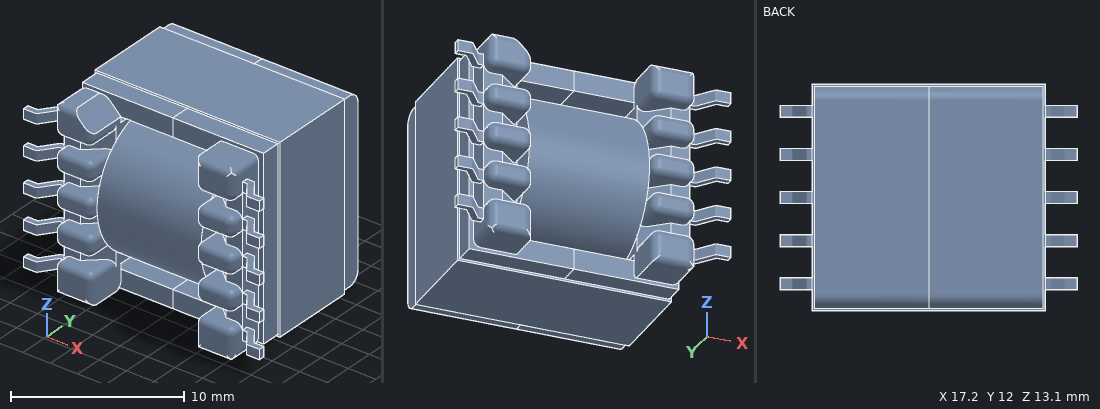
import cadquery as cq
import math


overall_length = 17.16
overall_depth = 11.96
core_length = 13.18
core_height = 12.82
core_front = 2.99
core_back_radius = 0.79

tape_thickness = 0.14
tape_front = 4.36
tape_width = 6.16

winding_radius = 4.74
winding_length = 7.55
winding_front = 0.72
winding_axis = winding_front + winding_radius
cavity_radius = 5.11
post_radius = 2.2

tube_wall = 0.5
flange_thickness = 0.82
block_length = 2.71
block_front = 0.14
block_radius = 0.51
bar_front = 1.13
bar_flat = 1.18
bar_slope_rise = 1.39
rib_width = 1.48
end_rib_width = 2.2

pins_per_side = 5
pin_pitch = 2.49
pin_width = 0.7
pin_thickness = 0.43
foot_length = 0.72
shoulder_length = 0.55
bend_outer_radius = 0.15
bend_inner_radius = 0.07

cavity_length = winding_length + 2 * flange_thickness
tube_radius = post_radius + tube_wall
block_inner = winding_length / 2
block_outer = block_inner + block_length
block_depth = core_front - block_front
half_height = core_height / 2


def cylinder_along_x(radius, start, length):
    """Solid cylinder on the winding axis, from X = start."""
    return cq.Workplane("YZ", origin=(start, winding_axis, 0)).circle(radius).extrude(length)


def u_slab(radius, start, length):
    """Slab with straight sides from the core front, closed by a half circle on the winding axis."""
    return (
        cq.Workplane("YZ", origin=(start, 0, 0))
        .moveTo(core_front, -radius)
        .lineTo(winding_axis, -radius)
        .threePointArc((winding_axis + radius, 0), (winding_axis, radius))
        .lineTo(core_front, radius)
        .close()
        .extrude(length)
    )


def make_core_half(side):
    """Half of the core on the given side of X = 0, with its half of the centre post."""
    half_length = side * core_length / 2
    body = (
        cq.Workplane("YZ")
        .rect(overall_depth - core_front, core_height)
        .extrude(half_length)
        .translate((0, (overall_depth + core_front) / 2, 0))
        .edges("|X and >Y")
        .fillet(core_back_radius)
    )
    half_cavity = side * cavity_length / 2
    post = cylinder_along_x(post_radius, 0, half_cavity)
    return body.cut(u_slab(cavity_radius, 0, half_cavity)).union(post)


def make_tape():
    """Closed rectangular band wrapped around both core halves."""
    return (
        cq.Workplane("XZ", origin=(0, tape_front, 0))
        .rect(core_length + 2 * tape_thickness, core_height + 2 * tape_thickness)
        .rect(core_length, core_height)
        .extrude(-tape_width)
    )


def make_winding():
    """Round winding that fills the space between the bobbin flanges."""
    outside = cylinder_along_x(winding_radius, -winding_length / 2, winding_length)
    return outside.cut(cylinder_along_x(tube_radius, -winding_length / 2, winding_length))


def box_between(x_range, y_range, z_range):
    """Axis-aligned box from three (low, high) pairs."""
    sizes = [high - low for low, high in (x_range, y_range, z_range)]
    corner = (x_range[0], y_range[0], z_range[0])
    return cq.Workplane("XY").box(*sizes, centered=False).translate(corner)


def make_rib(z_low, z_high):
    """Rib across the terminal block, rounded on its front edges and its upright corners."""
    rib = box_between((block_inner, block_outer), (block_front, core_front), (z_low, z_high))
    return rib.edges("|Y or <Y").fillet(block_radius)


def make_terminal_block():
    """Ribbed block in front of the core at the +X end."""
    block = (
        cq.Workplane("XY", origin=(0, 0, -half_height))
        .moveTo(block_inner, core_front)
        .lineTo(block_outer, core_front)
        .lineTo(block_outer, bar_front)
        .lineTo(block_outer - bar_flat, bar_front)
        .lineTo(block_inner, bar_front + bar_slope_rise)
        .close()
        .extrude(core_height)
    )
    for row in (-1, 0, 1):
        middle = row * pin_pitch
        block = block.union(make_rib(middle - rib_width / 2, middle + rib_width / 2))

    end_rib_inner = half_height - end_rib_width
    end_rib_outer = half_height + 2 * block_radius
    block = block.union(make_rib(end_rib_inner, end_rib_outer))
    block = block.union(make_rib(-end_rib_outer, -end_rib_inner))

    envelope = box_between(
        (block_inner, block_outer), (block_front, core_front), (-half_height, half_height)
    )
    rounded_front = envelope.edges("<Y").fillet(block_radius)
    rounded_back = envelope.edges("(>X or |X) and (not <Y)").fillet(block_radius)
    return block.intersect(rounded_back).intersect(rounded_front)


def make_pin(z_middle):
    """Gull-wing pin at the +X end; its shoulder lies flush with the front of the bar."""
    foot_tip = overall_length / 2
    shoulder_end = block_outer + shoulder_length
    foot_bend = foot_tip - foot_length
    root = block_outer - block_radius
    shoulder_top = bar_front + pin_thickness
    angle = math.atan2(bar_front, foot_bend - shoulder_end)
    shift = pin_thickness * math.tan(angle / 2)
    pin = (
        cq.Workplane("XY", origin=(0, 0, z_middle - pin_width / 2))
        .moveTo(root, bar_front)
        .lineTo(shoulder_end - shift, bar_front)
        .lineTo(foot_bend - shift, 0)
        .lineTo(foot_tip, 0)
        .lineTo(foot_tip, pin_thickness)
        .lineTo(foot_bend, pin_thickness)
        .lineTo(shoulder_end, shoulder_top)
        .lineTo(root, shoulder_top)
        .close()
        .extrude(pin_width)
    )
    for x, y, radius in (
        (shoulder_end, shoulder_top, bend_outer_radius),
        (shoulder_end - shift, bar_front, bend_inner_radius),
        (foot_bend, pin_thickness, bend_inner_radius),
        (foot_bend - shift, 0, bend_outer_radius),
    ):
        pin = pin.edges(cq.NearestToPointSelector((x, y, z_middle))).fillet(radius)
    return pin


def make_bobbin():
    """Tube with two flanges and two terminal blocks, one solid with its moulded-in pins."""
    flange = u_slab(winding_radius, block_inner, flange_thickness)
    bobbin_end = flange.union(make_terminal_block())
    for row in range(pins_per_side):
        bobbin_end = bobbin_end.union(make_pin((row - (pins_per_side - 1) / 2) * pin_pitch))
    tube = cylinder_along_x(tube_radius, -cavity_length / 2, cavity_length)
    bobbin = bobbin_end.union(bobbin_end.mirror("YZ")).union(tube)
    bobbin = bobbin.cut(cylinder_along_x(post_radius, -cavity_length / 2, cavity_length))

    cut_leg = half_height - cavity_radius
    pin_1_cut = (
        cq.Workplane("XZ", origin=(0, block_front, 0))
        .moveTo(-block_inner, half_height)
        .lineTo(-block_inner - cut_leg, half_height)
        .lineTo(-block_inner, cavity_radius)
        .close()
        .extrude(-block_depth)
    )
    return bobbin.cut(pin_1_cut)


core_halves = [make_core_half(side) for side in (-1, 1)]
tape = make_tape()
winding = make_winding()
bobbin = make_bobbin()

result = cq.Compound.makeCompound(
    [*(half.val() for half in core_halves), tape.val(), winding.val(), bobbin.val()]
)